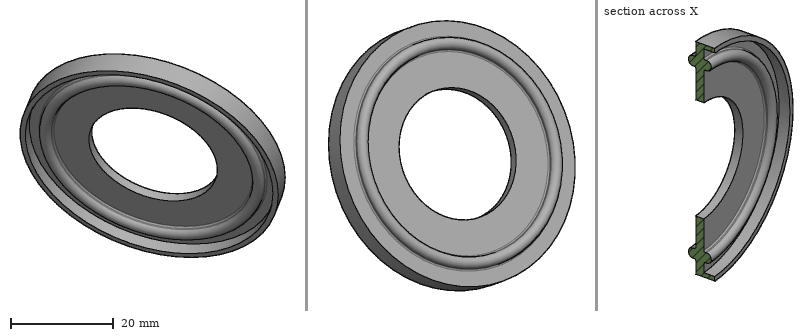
import cadquery as cq
import math

outer_diameter = 52.7
bore_diameter = 26.2
lip_inner_diameter = 50.5
rim_width = 4.6
web_thickness = 2.0

bead_outer_diameter = 45.9
bead_inner_diameter = 41.1
bead_height = 1.8
bead_fillet = 0.3

overall_depth = rim_width + bead_height
rim_front = -overall_depth / 2
web_back = rim_front + rim_width
web_front = web_back - web_thickness


def revolve_about_y(profile):
    """Turn a profile of radius (X) against Y fully around the Y axis."""
    return profile.close().revolve(360, (0, 0, 0), (0, 1, 0))


def sealing_bead(face_y, direction):
    """Round-topped bead with filleted feet, rising from face_y along +Y or -Y."""
    outer = bead_outer_diameter / 2
    inner = bead_inner_diameter / 2
    crown_radius = (outer - inner) / 2
    middle = (outer + inner) / 2
    root_y = face_y - direction * web_thickness / 2
    fillet_end_y = face_y + direction * bead_fillet
    crown_start_y = face_y + direction * (bead_height - crown_radius)
    crown_y = face_y + direction * bead_height
    fillet_mid = bead_fillet * (1 - math.sqrt(0.5))
    fillet_mid_y = face_y + direction * fillet_mid

    profile = (
        cq.Workplane("XY")
        .moveTo(inner - bead_fillet, root_y)
        .lineTo(inner - bead_fillet, face_y)
        .threePointArc((inner - fillet_mid, fillet_mid_y), (inner, fillet_end_y))
        .lineTo(inner, crown_start_y)
        .threePointArc((middle, crown_y), (outer, crown_start_y))
        .lineTo(outer, fillet_end_y)
        .threePointArc((outer + fillet_mid, fillet_mid_y), (outer + bead_fillet, face_y))
        .lineTo(outer + bead_fillet, root_y)
    )
    return revolve_about_y(profile)


body = revolve_about_y(
    cq.Workplane("XY")
    .moveTo(bore_diameter / 2, web_back)
    .lineTo(outer_diameter / 2, web_back)
    .lineTo(outer_diameter / 2, rim_front)
    .lineTo(lip_inner_diameter / 2, rim_front)
    .lineTo(lip_inner_diameter / 2, web_front)
    .lineTo(bore_diameter / 2, web_front)
)

back_bead = sealing_bead(web_back, 1)
front_bead = sealing_bead(web_front, -1)
result = body.union(back_bead).union(front_bead)